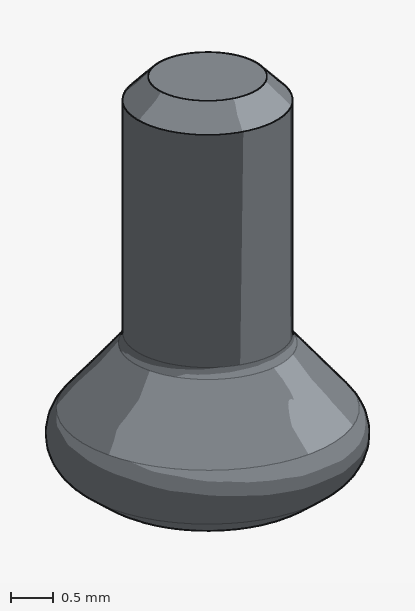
import cadquery as cq
import math

total_height = 5.3
head_diameter = 3.8
shank_diameter = 2.0
tip_chamfer = 0.3

rim_radius = 0.5
rim_height = 0.71
upper_cone_angle = 49.0
lower_cone_angle = 36.0
base_edge_radius = 0.5
neck_radius = 0.2

head_radius = head_diameter / 2
shank_radius = shank_diameter / 2
rim_center = (head_radius - rim_radius, rim_height)


def arc_point(center, radius, angle):
    """Point at an angle in degrees on a circle in the radius-height plane."""
    turn = math.radians(angle)
    return (center[0] + radius * math.cos(turn), center[1] + radius * math.sin(turn))


lower_normal = lower_cone_angle - 90
upper_normal = 90 - upper_cone_angle
rim_bottom = arc_point(rim_center, rim_radius, lower_normal)
rim_top = arc_point(rim_center, rim_radius, upper_normal)

base_arc_rise = base_edge_radius * (1 - math.cos(math.radians(lower_cone_angle)))
lower_cone_run = (rim_bottom[1] - base_arc_rise) / math.tan(math.radians(lower_cone_angle))
base_arc_run = base_edge_radius * math.sin(math.radians(lower_cone_angle))
base_flat_radius = rim_bottom[0] - lower_cone_run - base_arc_run
base_center = (base_flat_radius, base_edge_radius)

neck_center_radius = shank_radius + neck_radius
neck_bottom_radius = neck_center_radius - neck_radius * math.cos(math.radians(upper_normal))
upper_cone_rise = (rim_top[0] - neck_bottom_radius) * math.tan(math.radians(upper_cone_angle))
neck_bottom_height = rim_top[1] + upper_cone_rise
neck_center_height = neck_bottom_height + neck_radius * math.sin(math.radians(upper_normal))
neck_center = (neck_center_radius, neck_center_height)

half_section = (
    cq.Workplane("XZ")
    .lineTo(base_flat_radius, 0)
    .threePointArc(
        arc_point(base_center, base_edge_radius, (lower_normal - 90) / 2),
        arc_point(base_center, base_edge_radius, lower_normal),
    )
    .lineTo(*rim_bottom)
    .threePointArc((head_radius, rim_height), rim_top)
    .lineTo(neck_bottom_radius, neck_bottom_height)
    .threePointArc(
        arc_point(neck_center, neck_radius, 180 + upper_normal / 2),
        (shank_radius, neck_center_height),
    )
    .lineTo(shank_radius, total_height - tip_chamfer)
    .lineTo(shank_radius - tip_chamfer, total_height)
    .lineTo(0, total_height)
    .close()
)
result = half_section.revolve(360, (0, 0, 0), (0, 1, 0))